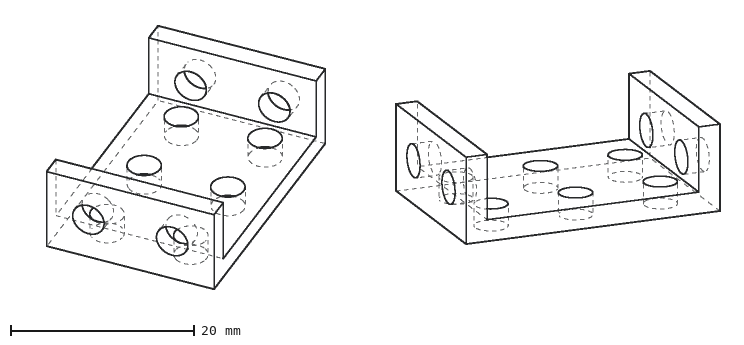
import cadquery as cq

pitch = 10.0
columns = 2
rows = 3
length_x = columns * pitch
width_y = rows * pitch
height_z = pitch
wall = 2.5
hole_diameter = 3.75


def channel():
    """U-shaped channel running along X, open at the top."""
    body = cq.Workplane("XY").box(length_x, width_y, height_z, centered=(True, True, False))
    cavity = (
        cq.Workplane("XY")
        .workplane(offset=wall)
        .box(length_x, width_y - 2 * wall, height_z - wall, centered=(True, True, False))
    )
    return body.cut(cavity)


def base_holes():
    """Grid of vertical cylinders that pierce the base."""
    return (
        cq.Workplane("XY")
        .rarray(pitch, pitch, columns, rows)
        .circle(hole_diameter / 2)
        .extrude(wall)
    )


def flange_holes():
    """Row of cylinders along Y that pierce both flanges at mid-height."""
    return (
        cq.Workplane("XZ", origin=(0, 0, height_z / 2))
        .rarray(pitch, pitch, columns, 1)
        .circle(hole_diameter / 2)
        .extrude(width_y / 2, both=True)
    )


result = channel().cut(base_holes()).cut(flange_holes())